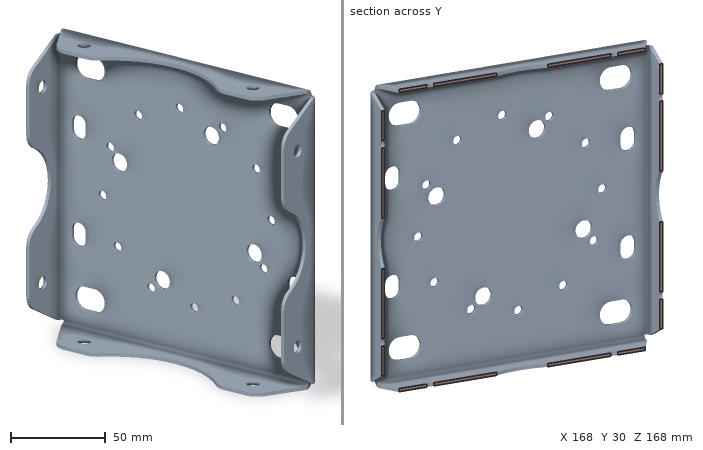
import cadquery as cq
import math

overall = 168.0
depth = 30.0
thickness = 2.0
bend_outer_radius = 4.0
flat_size = overall - 2 * bend_outer_radius
half_flat = flat_size / 2

flange_slant = math.radians(30)
corner_radius = 10.0
flange_hole_offset = 55.0
flange_hole_depth = 18.0
flange_hole_diameter = 7.0
wide_cutout_radius = 57.0
wide_cutout_apex = 13.0
narrow_cutout_radius = 25.0
narrow_cutout_apex = 10.8

corner_slot_x = 63.0
corner_slot_z = 65.0
corner_slot_length = 19.3
corner_slot_width = 13.1
side_slot_x = 70.2
side_slot_z = 30.0
side_slot_length = 13.3
side_slot_width = 9.0
small_hole_count = 12
small_hole_circle_radius = 55.1
small_hole_start = 5
small_hole_diameter = 5.0
large_hole_count = 4
large_hole_circle_radius = 46.7
large_hole_start = 70
large_hole_diameter = 10.0


def make_bend():
    """Quarter-round strip joining the plate to the flange on the +Z side."""
    bend_inner_radius = bend_outer_radius - thickness
    axis_y = -bend_outer_radius
    axis_z = half_flat
    diagonal = math.sqrt(0.5)
    return (
        cq.Workplane("YZ", origin=(-half_flat, 0, 0))
        .moveTo(0, axis_z)
        .threePointArc(
            (axis_y + bend_outer_radius * diagonal, axis_z + bend_outer_radius * diagonal),
            (axis_y, axis_z + bend_outer_radius),
        )
        .lineTo(axis_y, axis_z + bend_inner_radius)
        .threePointArc(
            (axis_y + bend_inner_radius * diagonal, axis_z + bend_inner_radius * diagonal),
            (-thickness, axis_z),
        )
        .close()
        .extrude(flat_size)
    )


def make_flange(cutout_radius, cutout_apex):
    """Flange on the +Z side: tapered ends, rounded corners and a round cutout in the free edge."""
    straight_depth = depth - bend_outer_radius
    half_edge = half_flat - straight_depth * math.tan(flange_slant)
    cutout_center_y = -(cutout_apex + cutout_radius)
    corner_center_y = corner_radius - depth
    center_rise = corner_center_y - cutout_center_y
    center_distance = cutout_radius + corner_radius
    corner_center_x = math.sqrt(center_distance**2 - center_rise**2)
    touch_ratio = cutout_radius / center_distance
    touch_x = corner_center_x * touch_ratio
    touch_y = cutout_center_y + center_rise * touch_ratio
    down_angle = -math.pi / 2
    cutout_angle = -math.pi + math.atan2(center_rise, corner_center_x)
    middle_angle = (down_angle + cutout_angle) / 2
    middle_x = corner_center_x + corner_radius * math.cos(middle_angle)
    middle_y = corner_center_y + corner_radius * math.sin(middle_angle)
    tangent_length = corner_radius * math.tan((math.pi / 2 - flange_slant) / 2)
    outer_edge_x = half_edge - tangent_length
    slant_x = half_edge + tangent_length * math.sin(flange_slant)
    slant_y = -depth + tangent_length * math.cos(flange_slant)
    outer_middle_angle = -(math.pi / 2 + flange_slant) / 2
    outer_middle_x = outer_edge_x + corner_radius * math.cos(outer_middle_angle)
    outer_middle_y = corner_center_y + corner_radius * math.sin(outer_middle_angle)

    inner_face_z = overall / 2 - thickness
    flange = (
        cq.Workplane("XY", origin=(0, 0, inner_face_z))
        .moveTo(-half_flat, -bend_outer_radius)
        .lineTo(-slant_x, slant_y)
        .threePointArc((-outer_middle_x, outer_middle_y), (-outer_edge_x, -depth))
        .lineTo(-corner_center_x, -depth)
        .threePointArc((-middle_x, middle_y), (-touch_x, touch_y))
        .threePointArc((0, -cutout_apex), (touch_x, touch_y))
        .threePointArc((middle_x, middle_y), (corner_center_x, -depth))
        .lineTo(outer_edge_x, -depth)
        .threePointArc((outer_middle_x, outer_middle_y), (slant_x, slant_y))
        .lineTo(half_flat, -bend_outer_radius)
        .close()
        .extrude(thickness)
    )
    holes = (
        cq.Workplane("XY", origin=(0, 0, inner_face_z))
        .pushPoints([(side * flange_hole_offset, -flange_hole_depth) for side in (-1, 1)])
        .circle(flange_hole_diameter / 2)
        .extrude(thickness)
    )
    return flange.cut(holes)


def plate_workplane():
    """Workplane on the outer face of the plate; its extrusions run toward -Y."""
    return cq.Workplane("XZ")


def mirrored_points(x, z):
    return [(side_x * x, side_z * z) for side_x in (-1, 1) for side_z in (-1, 1)]


def hole_ring(count, circle_radius, start_angle, diameter):
    return (
        plate_workplane()
        .polarArray(circle_radius, start_angle, 360, count)
        .circle(diameter / 2)
        .extrude(thickness)
    )


def make_plate():
    plate = plate_workplane().rect(flat_size, flat_size).extrude(thickness)
    corner_slots = (
        plate_workplane()
        .pushPoints(mirrored_points(corner_slot_x, corner_slot_z))
        .slot2D(corner_slot_length, corner_slot_width)
        .extrude(thickness)
    )
    side_slots = (
        plate_workplane()
        .pushPoints(mirrored_points(side_slot_x, side_slot_z))
        .slot2D(side_slot_length, side_slot_width, 90)
        .extrude(thickness)
    )
    small_holes = hole_ring(
        small_hole_count, small_hole_circle_radius, small_hole_start, small_hole_diameter
    )
    large_holes = hole_ring(
        large_hole_count, large_hole_circle_radius, large_hole_start, large_hole_diameter
    )
    return plate.cut(corner_slots).cut(side_slots).cut(small_holes).cut(large_holes)


bend = make_bend()
wide_flange = bend.union(make_flange(wide_cutout_radius, wide_cutout_apex))
narrow_flange = bend.union(make_flange(narrow_cutout_radius, narrow_cutout_apex))

result = make_plate()
for turn, side_flange in enumerate([wide_flange, narrow_flange, wide_flange, narrow_flange]):
    result = result.union(side_flange.rotate((0, 0, 0), (0, 1, 0), 90 * turn))